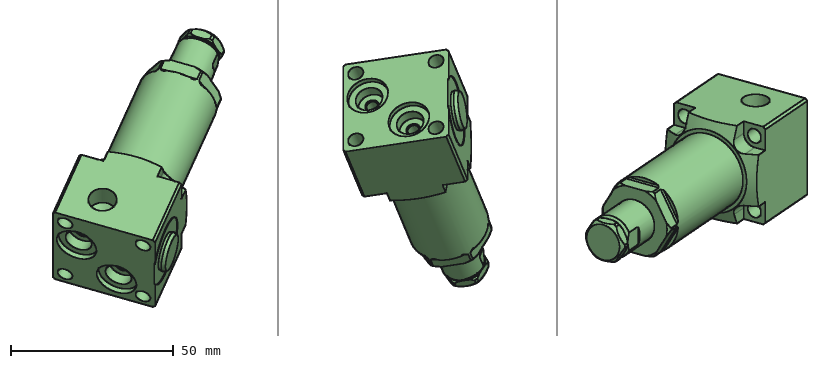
import cadquery as cq
import math


block_side = 33.34
half_side = block_side / 2
block_length = 30.2
edge_chamfer = 0.76
crown_start_y = 28.8
crown_end_radius = 13.9
crown_slope = (block_length - crown_start_y) / (half_side - crown_end_radius)

bolt_offset = 12.7
bolt_hole_diameter = 4.8
pocket_radius = 3.9
pocket_floor_y = 23.9

pilot_port_center = (-8.94, 3.48)
plain_port_center = (4.08, -7.94)
seal_groove_diameter = 12.9
seal_groove_depth = 1.8
port_diameter = 8.5
port_depth = 5.4
drill_mouth_diameter = 4.3
drill_diameter = 3.6
drill_depth = 6.0
pilot_diameter = 2.1
pilot_depth = 3.0
drill_tip_angle = 118.0

top_port_x = -3.94
side_feature_y = 9.6
top_port_diameter = 8.7
top_port_depth = 7.0

spotface_radius = 10.8
spotface_depth = 0.25
plug_root_radius = 6.05
plug_rim_radius = 6.3
plug_end_radius = 5.8
plug_rim_height = 0.76
plug_height = 1.99

body_radius = 12.58
body_end_y = 71.9
hex_across_flats = 22.15
hex_start_y = 66.9
hex_runout_length = 0.75
hex_runout_across_flats = 22.8
hex_end_chamfer = 0.9

neck_radius = 7.1
neck_end_y = 86.5
neck_chamfer = 1.3
neck_across_flats = 12.8
neck_flat_start_y = 80.1
neck_runout_length = 0.6
neck_runout_rise = 0.12

nut_end_y = 89.98
nut_across_flats = 12.9
nut_corner_radius = 7.18
nut_end_chamfer = 1.2
nut_base_chamfer = 0.6

Y_AXIS = (0, 1, 0)


def drill_tip_length(diameter):
    return diameter / 2 / math.tan(math.radians(drill_tip_angle / 2))


def plane_at_y(y):
    """Plane across the valve axis with local x along X and normal along +Y."""
    return cq.Workplane(cq.Plane(origin=(0, y, 0), xDir=(1, 0, 0), normal=Y_AXIS))


def turned(points):
    """Solid of revolution about the valve axis from (radius, y) points."""
    return cq.Workplane("XY").polyline(points).close().revolve(360, (0, 0), (0, 1))


def across_corners(across_flats):
    return across_flats / math.cos(math.radians(30))


def hexagon(y, across_flats):
    """Hexagon sketch with two flats facing +Z and -Z."""
    return plane_at_y(y).polygon(6, across_corners(across_flats))


def make_crown_envelope():
    """Turned shape that bevels the body end of the block."""
    outer_radius = half_side * math.sqrt(2)
    outer_y = block_length - (outer_radius - crown_end_radius) * crown_slope
    return turned([
        (0, 0), (outer_radius, 0), (outer_radius, outer_y),
        (crown_end_radius, block_length), (0, block_length),
    ])


def make_corner_pockets():
    """Open pockets at the four block corners, rounded around each bolt hole."""
    inner = bolt_offset - pocket_radius
    size = half_side - inner
    center = inner + size / 2
    length = block_length - pocket_floor_y
    pocket = (
        plane_at_y(pocket_floor_y).center(center, -center).rect(size, size).extrude(length)
        .edges("|Y").edges("<X and <Z").fillet(pocket_radius)
    )
    pockets = pocket
    for turn in (90, 180, 270):
        pockets = pockets.union(pocket.rotate((0, 0, 0), Y_AXIS, turn))
    return pockets


def make_block():
    block = (
        plane_at_y(0).rect(block_side, block_side).extrude(block_length)
        .edges("|Y").chamfer(edge_chamfer)
    )
    block = block.intersect(make_crown_envelope()).cut(make_corner_pockets())
    bolt_spacing = 2 * bolt_offset
    bolt_holes = (
        plane_at_y(0).rect(bolt_spacing, bolt_spacing, forConstruction=True).vertices()
        .circle(bolt_hole_diameter / 2).extrude(block_length)
    )
    return block.cut(bolt_holes)


def make_port(center, has_pilot):
    """Cutter for a mounting-face port: seal groove, bore, countersunk drill and optional pilot."""
    groove_radius = seal_groove_diameter / 2
    port_radius = port_diameter / 2
    mouth_radius = drill_mouth_diameter / 2
    drill_radius = drill_diameter / 2
    drill_start_y = port_depth + mouth_radius - drill_radius
    drill_end_y = port_depth + drill_depth
    tip_y = drill_end_y + drill_tip_length(drill_diameter)
    profile = [
        (0, 0), (groove_radius, 0), (groove_radius, seal_groove_depth),
        (port_radius, seal_groove_depth), (port_radius, port_depth),
        (mouth_radius, port_depth), (drill_radius, drill_start_y), (drill_radius, drill_end_y),
    ]
    if has_pilot:
        pilot_radius = pilot_diameter / 2
        pilot_end_y = drill_end_y + pilot_depth
        profile.append((pilot_radius, tip_y - drill_tip_length(pilot_diameter)))
        profile.append((pilot_radius, pilot_end_y))
        tip_y = pilot_end_y + drill_tip_length(pilot_diameter)
    profile.append((0, tip_y))
    x, z = center
    return turned(profile).translate((x, 0, z))


def make_top_port():
    """Cutter for the drilled port in the +Z face."""
    radius = top_port_diameter / 2
    tip_depth = top_port_depth + drill_tip_length(top_port_diameter)
    return (
        cq.Workplane("XZ")
        .polyline([(0, 0), (radius, 0), (radius, -top_port_depth), (0, -tip_depth)]).close()
        .revolve(360, (0, 0), (0, 1))
        .translate((top_port_x, side_feature_y, half_side))
    )


def make_spotface():
    """Cutter for the shallow spotface around the side plug."""
    return (
        cq.Workplane("YZ", origin=(half_side - spotface_depth, side_feature_y, 0))
        .circle(spotface_radius).extrude(spotface_depth)
    )


def make_plug():
    """Plug standing out of the spotface, widest at its rim."""
    profile = [
        (-spotface_depth, 0), (-spotface_depth, plug_root_radius), (plug_rim_height, plug_rim_radius),
        (plug_height, plug_end_radius), (plug_height, 0),
    ]
    return (
        cq.Workplane("XY").polyline(profile).close()
        .revolve(360, (0, 0), (1, 0))
        .translate((half_side, side_feature_y, 0))
    )


def make_body():
    body = plane_at_y(block_length).circle(body_radius).extrude(hex_start_y - block_length)
    flats_y = hex_start_y + hex_runout_length
    runout = (
        hexagon(hex_start_y, hex_runout_across_flats)
        .workplane(offset=hex_runout_length)
        .polygon(6, across_corners(hex_across_flats))
        .loft(ruled=True)
    )
    head = hexagon(flats_y, hex_across_flats).extrude(body_end_y - flats_y)
    envelope = (
        plane_at_y(hex_start_y).circle(body_radius).extrude(body_end_y - hex_start_y)
        .faces(">Y").chamfer(hex_end_chamfer)
    )
    return body.union(runout.union(head).intersect(envelope))


def make_neck():
    length = neck_end_y - body_end_y
    neck = (
        plane_at_y(body_end_y).circle(neck_radius).extrude(length)
        .faces(">Y").chamfer(neck_chamfer)
    )
    flat_x = neck_across_flats / 2
    outer_x = 2 * neck_radius
    beyond_flat = (
        cq.Workplane("XY")
        .polyline([
            (outer_x, neck_flat_start_y), (flat_x + neck_runout_rise, neck_flat_start_y),
            (flat_x, neck_flat_start_y + neck_runout_length), (flat_x, neck_end_y), (outer_x, neck_end_y),
        ])
        .close().extrude(neck_radius, both=True)
    )
    return neck.cut(beyond_flat).cut(beyond_flat.mirror("YZ"))


def make_nut():
    length = nut_end_y - neck_end_y
    envelope = (
        plane_at_y(neck_end_y).circle(nut_corner_radius).extrude(length)
        .faces(">Y").chamfer(nut_end_chamfer)
        .faces("<Y").chamfer(nut_base_chamfer)
    )
    return hexagon(neck_end_y, nut_across_flats).extrude(length).intersect(envelope)


block = (
    make_block()
    .cut(make_port(pilot_port_center, has_pilot=True))
    .cut(make_port(plain_port_center, has_pilot=False))
    .cut(make_top_port())
    .cut(make_spotface())
)
result = block.union(make_plug()).union(make_body()).union(make_neck()).union(make_nut())